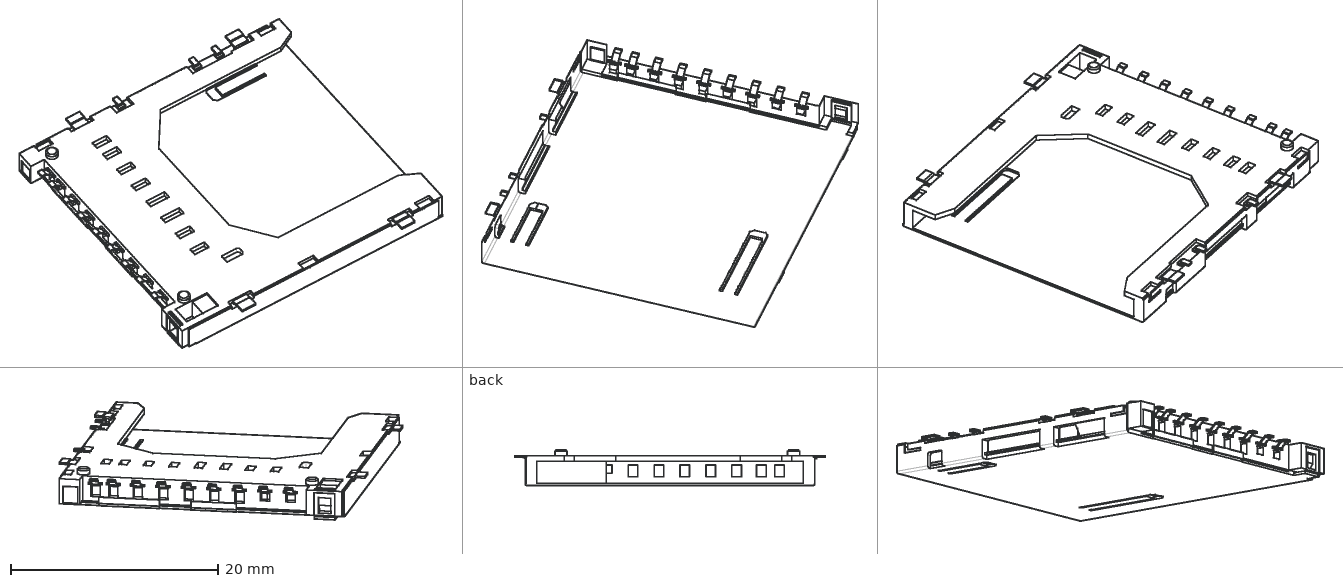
import cadquery as cq

SHELL_HALF_WIDTH = 14.0
HOUSING_HALF_WIDTH = 13.87
FLANGE_REACH = 15.0
REAR_Y = 15.25
FRONT_Y = -15.25
WALL_FRONT_Y = -13.7
SHELL_RIGHT_REAR_Y = 14.75
SHELL_LEFT_FRONT_Y = -13.6
SHELL_RIGHT_FRONT_Y = -14.5
TOP_Z = 2.9
FLOOR_TOP = 0.25
FOOT_BOTTOM = 0.4
SHELL_TOP = 2.75
SHELL_BEND_RADIUS = 0.24
ROOF_THICKNESS = 0.55
CAVITY_TOP = TOP_Z - ROOF_THICKNESS
CAVITY_HALF_WIDTH = 12.85
FRONT_WALL_THICKNESS = 0.7
CAVITY_FRONT_Y = WALL_FRONT_Y + FRONT_WALL_THICKNESS

LEFT_FOOT_INNER_X = -11.85
RIGHT_FOOT_INNER_X = 10.4
PEG_TOP = 3.45
PEG_X = (-11.93, 10.52)
PEG_Y = -12.73
PEG_RADIUS = 0.6
PEG_CHAMFER = 0.15

BUTTON_LEFT_X = 11.15
BUTTON_RIGHT_X = 13.2
TONGUE_FRONT_Y = -15.1

NOTCH_CENTRE_X = -0.77
NOTCH_HALF_WIDTH = 10.0
NOTCH_MOUTH_HALF_WIDTH = 11.0
NOTCH_TIP_HALF_WIDTH = 6.0
NOTCH_FLARE_Y = 13.3
NOTCH_SHOULDER_Y = -0.8
NOTCH_TIP_Y = -3.77

SLOT_INSET = 0.25
LEFT_SLOT_X = NOTCH_CENTRE_X - NOTCH_HALF_WIDTH + SLOT_INSET
RIGHT_SLOT_X = NOTCH_CENTRE_X + NOTCH_HALF_WIDTH - SLOT_INSET
LEFT_SLOT_FRONT_Y = 5.4
RIGHT_SLOT_FRONT_Y = 2.15

CONTACT_PITCH = 2.5
LAST_CONTACT_X = 8.57
PITCHED_CONTACTS = 7
CLOSE_CONTACTS_X = (-8.82, -10.57)
CONTACT_X = [LAST_CONTACT_X - CONTACT_PITCH * i for i in range(PITCHED_CONTACTS)]
CONTACT_X += CLOSE_CONTACTS_X
CONTACT_WIDTH = 0.7
CONTACT_TIP_Y = -15.1
CONTACT_BEND_Y = -14.6
CONTACT_THICKNESS = 0.15
CONTACT_BASE_Z = 2.15
CONTACT_BASE_WIDTH = 1.35
CONTACT_BASE_REACH = 0.2

FRONT_WINDOW_WIDTH = 0.9
FRONT_WINDOW_TOP = 1.97
TALL_WINDOW_SILL = 0.88
SHORT_WINDOW_SILL = 1.22
SHORT_WINDOWS = 2

ROOF_WINDOW_WIDTH = 0.8
ROOF_WINDOW_FRONT_Y = -8.65
ROOF_WINDOW_LENGTH = 1.65
LONG_ROOF_WINDOW_LENGTH = 2.15
LONG_WINDOW_INDICES = (3, 4)

POCKET_FLOOR_Z = 2.5
FLANGE_THICKNESS = 0.18
FLANGE_STEP = 0.1
FLANGE_INNER_X = 13.4
FLANGE_RISER_X = 13.6
TERMINAL_TIP_X = -14.55
TERMINAL_WIDTH = 0.55
TERMINAL_BASE_WIDTH = 0.8
TERMINAL_INNER_X = -13.3
REAR_FLANGE_SPAN = (9.73, 11.28)
FRONT_FLANGE_SPAN = (-8.98, -7.37)
FLANGES = (
    (-1, REAR_FLANGE_SPAN, 14.15, 14.2),
    (-1, FRONT_FLANGE_SPAN, 14.15, 14.2),
    (1, REAR_FLANGE_SPAN, 13.97, 14.2),
    (1, FRONT_FLANGE_SPAN, 13.95, 14.0),
)
TERMINAL_Y = (8.02, 5.4, -3.54)
DEEP_POCKET_X = 13.06
FLANGE_POCKET_X = 13.33
TERMINAL_POCKET_X = 12.84

SIDE_RECESS_DEPTH = 0.4
RECESS_TOP = 1.84
RECESS_LEDGE_TOP = 0.6
RECESS_LEDGE_BOTTOM = 0.4


def box(x0, x1, y0, y1, z0, z1):
    """Axis-aligned block between opposite corners."""
    return cq.Workplane("XY").box(x1 - x0, y1 - y0, z1 - z0, centered=False).translate((x0, y0, z0))


def make_housing():
    """Plastic frame: roof, side rails, front wall and the two feet."""
    width = HOUSING_HALF_WIDTH
    housing = box(-width, width, WALL_FRONT_Y, REAR_Y, FLOOR_TOP, TOP_Z)
    housing = housing.union(box(-width, LEFT_FOOT_INNER_X, FRONT_Y, WALL_FRONT_Y, FOOT_BOTTOM, TOP_Z))
    housing = housing.union(box(RIGHT_FOOT_INNER_X, width, FRONT_Y, WALL_FRONT_Y, FOOT_BOTTOM, TOP_Z))
    cavity = box(-CAVITY_HALF_WIDTH, CAVITY_HALF_WIDTH, CAVITY_FRONT_Y, REAR_Y, FLOOR_TOP, CAVITY_TOP)
    return housing.cut(cavity)


def make_shell():
    """Metal floor with both side walls."""
    half = SHELL_HALF_WIDTH
    floor = box(-half, half, WALL_FRONT_Y, REAR_Y, 0, FLOOR_TOP)
    floor = floor.edges("|Y and <Z").fillet(SHELL_BEND_RADIUS)
    left_wall = box(-half, -CAVITY_HALF_WIDTH, SHELL_LEFT_FRONT_Y, REAR_Y, FLOOR_TOP, SHELL_TOP)
    right_wall = box(
        HOUSING_HALF_WIDTH, half, SHELL_RIGHT_FRONT_Y, SHELL_RIGHT_REAR_Y, FLOOR_TOP, SHELL_TOP
    )
    tongue = box(BUTTON_LEFT_X, BUTTON_RIGHT_X, TONGUE_FRONT_Y, WALL_FRONT_Y, 0, FLOOR_TOP)
    return floor.union(left_wall).union(right_wall).union(tongue)


def make_ejector():
    """Ejector block in the front right corner of the cavity."""
    ejector_left_x = 6.15
    ejector_rear_y = -9.5
    return box(
        ejector_left_x, CAVITY_HALF_WIDTH, CAVITY_FRONT_Y, ejector_rear_y, FLOOR_TOP, CAVITY_TOP
    )


def make_notch():
    """Cutter for the roof opening, flared at the card entry."""
    half_outline = [
        (NOTCH_MOUTH_HALF_WIDTH, REAR_Y),
        (NOTCH_HALF_WIDTH, NOTCH_FLARE_Y),
        (NOTCH_HALF_WIDTH, NOTCH_SHOULDER_Y),
        (NOTCH_TIP_HALF_WIDTH, NOTCH_TIP_Y),
    ]
    mirrored = [(-x, y) for x, y in reversed(half_outline)]
    notch = cq.Workplane("XY").polyline(half_outline + mirrored).close()
    return notch.extrude(ROOF_THICKNESS).translate((NOTCH_CENTRE_X, 0, CAVITY_TOP))


def make_spring_slot(inner_x, outward, front_y):
    """U-shaped floor slot around a spring finger; outward is -1 or +1 along X."""
    slot_rear_y = 11.43
    slot_width = 1.85
    leg_width = 0.3
    tip_gap = 1.1
    corner = 0.35
    length = slot_rear_y - front_y
    finger_width = slot_width - 2 * leg_width
    centre_x = inner_x + outward * slot_width / 2
    centre_y = (slot_rear_y + front_y) / 2
    slot = cq.Workplane("XY").rect(slot_width, length).extrude(FLOOR_TOP)
    slot = slot.edges("|Z and <Y").chamfer(corner).translate((centre_x, centre_y, 0))
    finger = cq.Workplane("XY").rect(finger_width, length).extrude(FLOOR_TOP)
    finger = finger.translate((centre_x, centre_y + tip_gap, 0))
    return slot.cut(finger)


def cut_contact_windows(body):
    """Front and roof windows, one of each per contact; the last contact's roof window is offset."""
    for index, x in enumerate(CONTACT_X):
        sill = SHORT_WINDOW_SILL if index < SHORT_WINDOWS else TALL_WINDOW_SILL
        left = x - FRONT_WINDOW_WIDTH / 2
        right = x + FRONT_WINDOW_WIDTH / 2
        body = body.cut(box(left, right, WALL_FRONT_Y, CAVITY_FRONT_Y, sill, FRONT_WINDOW_TOP))
    for index, x in enumerate(CONTACT_X[1:], start=1):
        length = LONG_ROOF_WINDOW_LENGTH if index in LONG_WINDOW_INDICES else ROOF_WINDOW_LENGTH
        left = x - ROOF_WINDOW_WIDTH / 2
        right = x + ROOF_WINDOW_WIDTH / 2
        rear = ROOF_WINDOW_FRONT_Y + length
        body = body.cut(box(left, right, ROOF_WINDOW_FRONT_Y, rear, CAVITY_TOP, TOP_Z))
    return body.cut(make_offset_roof_window())


def make_offset_roof_window():
    """Roof window of the last contact, set further back and rounded at the rear."""
    width = 0.93
    front_y = -6.65
    rear_y = -4.65
    corner_radius = 0.3
    left = LAST_CONTACT_X - width / 2
    right = LAST_CONTACT_X + width / 2
    window = box(left, right, front_y, rear_y, CAVITY_TOP, TOP_Z)
    return window.edges("|Z and >Y").fillet(corner_radius)


def make_contact(x):
    """Solder tail rising from a wide base at the front wall to the top face."""
    base_top = CONTACT_BASE_Z + CONTACT_THICKNESS
    profile = [
        (WALL_FRONT_Y, CONTACT_BASE_Z),
        (WALL_FRONT_Y - CONTACT_BASE_REACH, CONTACT_BASE_Z),
        (CONTACT_BEND_Y, TOP_Z - CONTACT_THICKNESS),
        (CONTACT_TIP_Y, TOP_Z - CONTACT_THICKNESS),
        (CONTACT_TIP_Y, TOP_Z),
        (CONTACT_BEND_Y, TOP_Z),
        (WALL_FRONT_Y - CONTACT_BASE_REACH, base_top),
        (WALL_FRONT_Y, base_top),
    ]
    tail = cq.Workplane("YZ").polyline(profile).close().extrude(CONTACT_WIDTH)
    tail = tail.translate((x - CONTACT_WIDTH / 2, 0, 0))
    base = box(
        x - CONTACT_BASE_WIDTH / 2, x + CONTACT_BASE_WIDTH / 2,
        WALL_FRONT_Y - CONTACT_BASE_REACH, WALL_FRONT_Y, CONTACT_BASE_Z, base_top,
    )
    return tail.union(base)


def make_front_ledges():
    """Floor tabs folded up against the front wall."""
    ledge_spans = ((-10.23, -4.29), (-1.18, 3.27))
    ledge_depth = 0.2
    foot_depth = 0.1
    ledges = cq.Workplane("XY")
    for left, right in ledge_spans:
        ledges = ledges.union(
            box(left, right, WALL_FRONT_Y - ledge_depth, WALL_FRONT_Y, FLOOR_TOP, TALL_WINDOW_SILL)
        )
        ledges = ledges.union(box(left, right, WALL_FRONT_Y - foot_depth, WALL_FRONT_Y, 0, FLOOR_TOP))
    return ledges


def cut_front_groove(body):
    """Groove between the floor and the front wall."""
    groove_depth = 0.2
    return body.cut(
        box(
            LEFT_FOOT_INNER_X, RIGHT_FOOT_INNER_X,
            WALL_FRONT_Y, WALL_FRONT_Y + groove_depth, FLOOR_TOP, FOOT_BOTTOM,
        )
    )


def make_peg(x):
    """Locating peg with a chamfered tip."""
    peg = cq.Workplane("XY").circle(PEG_RADIUS).extrude(PEG_TOP - TOP_Z)
    return peg.faces(">Z").chamfer(PEG_CHAMFER).translate((x, PEG_Y, TOP_Z))


def cut_side_pockets(body):
    """Shallow pockets along both top edges; the latch pockets keep the shell wall outside them."""
    rear_latch_span = (12.6, 14.27)
    front_latch_span = (-13.48, -11.82)
    front_flange_span = (-9.48, -6.87)
    left_pockets = (
        (DEEP_POCKET_X, HOUSING_HALF_WIDTH, rear_latch_span),
        (DEEP_POCKET_X, SHELL_HALF_WIDTH, (9.05, 11.74)),
        (TERMINAL_POCKET_X, SHELL_HALF_WIDTH, (4.43, 9.05)),
        (TERMINAL_POCKET_X, SHELL_HALF_WIDTH, (-4.53, -2.52)),
        (FLANGE_POCKET_X, SHELL_HALF_WIDTH, front_flange_span),
        (DEEP_POCKET_X, HOUSING_HALF_WIDTH, front_latch_span),
    )
    right_pockets = (
        (DEEP_POCKET_X, HOUSING_HALF_WIDTH, rear_latch_span),
        (FLANGE_POCKET_X, SHELL_HALF_WIDTH, (9.23, 11.76)),
        (DEEP_POCKET_X, HOUSING_HALF_WIDTH, (-1.06, 0.7)),
        (FLANGE_POCKET_X, SHELL_HALF_WIDTH, front_flange_span),
    )
    for inner_x, outer_x, (front, rear) in left_pockets:
        body = body.cut(box(-outer_x, -inner_x, front, rear, POCKET_FLOOR_Z, TOP_Z))
    for inner_x, outer_x, (front, rear) in right_pockets:
        body = body.cut(box(inner_x, outer_x, front, rear, POCKET_FLOOR_Z, TOP_Z))
    return body


def make_flange(side, span, ramp_x, crease_x):
    """Solder flange stepped up to the top face between ramp_x and crease_x; side is -1 or +1."""
    front, rear = span
    inner_top = TOP_Z - FLANGE_STEP
    profile = [
        (FLANGE_INNER_X, POCKET_FLOOR_Z),
        (FLANGE_INNER_X, inner_top),
        (ramp_x, inner_top),
        (crease_x, TOP_Z),
        (FLANGE_REACH, TOP_Z),
        (FLANGE_REACH, TOP_Z - FLANGE_THICKNESS),
        (crease_x, TOP_Z - FLANGE_THICKNESS),
        (ramp_x, inner_top - FLANGE_THICKNESS),
        (FLANGE_RISER_X, inner_top - FLANGE_THICKNESS),
        (FLANGE_RISER_X, POCKET_FLOOR_Z),
    ]
    flange = cq.Workplane("XZ").polyline(profile).close().extrude(front - rear)
    flange = flange.translate((0, front, 0))
    return flange if side > 0 else flange.mirror("YZ")


def make_terminal(y):
    """Card detection terminal on the left side."""
    half = TERMINAL_WIDTH / 2
    base_half = TERMINAL_BASE_WIDTH / 2
    tail_inner_x = -13.57
    tail = box(TERMINAL_TIP_X, tail_inner_x, y - half, y + half, TOP_Z - FLANGE_THICKNESS, TOP_Z)
    riser = box(-HOUSING_HALF_WIDTH, tail_inner_x, y - half, y + half, POCKET_FLOOR_Z, TOP_Z)
    base_top = POCKET_FLOOR_Z + CONTACT_THICKNESS
    base = box(-HOUSING_HALF_WIDTH, TERMINAL_INNER_X, y - base_half, y + base_half, POCKET_FLOOR_Z, base_top)
    return tail.union(riser).union(base)


def make_side_recess(front, rear):
    """Cutter for a left wall window, with a ledge above an undercut floor edge."""
    outer_x = -SHELL_HALF_WIDTH
    panel_depth = 0.6
    rear_groove_depth = 0.8
    rear_groove_width = 0.28
    undercut_depth = 0.7
    panel = box(outer_x, outer_x + panel_depth, front, rear, RECESS_LEDGE_TOP, RECESS_TOP)
    rear_groove = box(
        outer_x, outer_x + rear_groove_depth,
        rear - rear_groove_width, rear, RECESS_LEDGE_TOP, RECESS_TOP,
    )
    ledge = box(
        outer_x, outer_x + SIDE_RECESS_DEPTH, front, rear, RECESS_LEDGE_BOTTOM, RECESS_LEDGE_TOP
    )
    undercut = box(outer_x, outer_x + undercut_depth, front, rear, 0, RECESS_LEDGE_BOTTOM)
    return panel.union(rear_groove).union(ledge).union(undercut)


def make_slanted_recess(front, rear):
    """Cutter whose inner face leans outward towards the top."""
    outer_x = -SHELL_HALF_WIDTH
    bottom_depth = 1.05
    top_depth = 0.2
    profile = [
        (outer_x, RECESS_LEDGE_TOP),
        (outer_x + bottom_depth, RECESS_LEDGE_TOP),
        (outer_x + top_depth, RECESS_TOP),
        (outer_x, RECESS_TOP),
    ]
    return cq.Workplane("XZ").polyline(profile).close().extrude(front - rear).translate((0, front, 0))


def cut_side_windows(body):
    """The two long windows in the left wall, the front one partly slanted."""
    outer_x = -SHELL_HALF_WIDTH
    rear_window_span = (-2.65, 4.53)
    front_window_front_y = -10.77
    front_window_rear_y = -4.4
    slant_rear_y = -6.93
    body = body.cut(make_side_recess(*rear_window_span))
    body = body.cut(make_side_recess(slant_rear_y, front_window_rear_y))
    below_slant = box(outer_x, 0, front_window_front_y, slant_rear_y, 0, RECESS_LEDGE_TOP)
    body = body.cut(make_side_recess(front_window_front_y, slant_rear_y).intersect(below_slant))
    return body.cut(make_slanted_recess(front_window_front_y, slant_rear_y))


def cut_small_side_recess(body):
    """Rounded recess low in the left wall with a ledge across its bottom."""
    outer_x = -SHELL_HALF_WIDTH
    inner_x = outer_x + SIDE_RECESS_DEPTH
    front_y = 9.6
    rear_y = 11.36
    top_z = 1.53
    corner_radius = 0.25
    ledge_setback = 0.2
    ledge_x = outer_x + ledge_setback
    ledge_inset = 0.2
    ledge_bottom = 0.25
    ledge_top = 0.5
    recess = box(outer_x, inner_x, front_y, rear_y, 0, top_z).edges("|X and >Z").fillet(corner_radius)
    ledge = box(ledge_x, inner_x, front_y + ledge_inset, rear_y - ledge_inset, ledge_bottom, ledge_top)
    return body.cut(recess).union(ledge)


def cut_latch_grooves(body):
    """L-shaped grooves through the left shell wall, one near each end."""
    outer_x = -SHELL_HALF_WIDTH
    inner_x = -HOUSING_HALF_WIDTH
    groove_bottom = 1.9
    groove_top = 2.15
    leg_width = 0.4
    rear_groove = (12.3, 14.3, 13.9)
    front_groove = (-13.53, -11.57, -13.53)
    for front, rear, leg_front in (rear_groove, front_groove):
        body = body.cut(box(outer_x, inner_x, front, rear, groove_bottom, groove_top))
        body = body.cut(box(outer_x, inner_x, leg_front, leg_front + leg_width, groove_top, TOP_Z))
    return body


def cut_left_foot(body):
    """Shallow rectangular panel in the front of the left foot."""
    panel_left_x = -13.5
    panel_right_x = -12.05
    panel_bottom = 0.5
    panel_top = 2.15
    panel_depth = 0.15
    return body.cut(
        box(panel_left_x, panel_right_x, FRONT_Y, FRONT_Y + panel_depth, panel_bottom, panel_top)
    )


def cut_right_foot(body):
    """Push-button opening: framed front recess, top slot and a stepped pocket from above."""
    frame_depth = 0.15
    frame_top = 2.65
    pocket_front_y = -14.2
    pocket_step_y = -12.22
    pocket_rear_y = -10.5
    pocket_left_x = 11.2
    pocket_right_x = 13.13
    top_slot_front_y = -15.0
    button_face_y = -14.7
    opening_bottom = 0.62
    slope_top = 1.3
    opening_top = 2.15
    shelf_z = 2.7
    frame = box(BUTTON_LEFT_X, BUTTON_RIGHT_X, FRONT_Y, FRONT_Y + frame_depth, FOOT_BOTTOM, frame_top)
    top_slot = box(BUTTON_LEFT_X, BUTTON_RIGHT_X, top_slot_front_y, button_face_y, frame_top, TOP_Z)
    opening_profile = [
        (FRONT_Y, opening_bottom),
        (pocket_front_y, opening_bottom),
        (button_face_y, slope_top),
        (button_face_y, opening_top),
        (FRONT_Y, opening_top),
    ]
    opening_left_x = 11.55
    opening_width = 1.25
    opening = cq.Workplane("YZ").polyline(opening_profile).close().extrude(opening_width)
    opening = opening.translate((opening_left_x, 0, 0))
    deep_pocket = box(
        pocket_left_x, pocket_right_x, pocket_front_y, pocket_step_y, opening_bottom, TOP_Z
    )
    shelf_pocket = box(pocket_left_x, pocket_right_x, pocket_step_y, pocket_rear_y, shelf_z, TOP_Z)
    for cutter in (frame, top_slot, opening, deep_pocket, shelf_pocket):
        body = body.cut(cutter)
    return body


body = make_shell().union(make_housing()).union(make_ejector())
body = body.cut(make_notch())
body = body.cut(make_spring_slot(LEFT_SLOT_X, -1, LEFT_SLOT_FRONT_Y))
body = body.cut(make_spring_slot(RIGHT_SLOT_X, 1, RIGHT_SLOT_FRONT_Y))
body = cut_contact_windows(body)
body = cut_side_pockets(body)
body = cut_side_windows(body)
body = cut_small_side_recess(body)
body = cut_latch_grooves(body)
body = cut_left_foot(body)
body = cut_right_foot(body)
body = cut_front_groove(body)
body = body.union(make_front_ledges())
for contact_x in CONTACT_X:
    body = body.union(make_contact(contact_x))
for peg_x in PEG_X:
    body = body.union(make_peg(peg_x))
for side, span, ramp_x, crease_x in FLANGES:
    body = body.union(make_flange(side, span, ramp_x, crease_x))
for terminal_y in TERMINAL_Y:
    body = body.union(make_terminal(terminal_y))

result = body